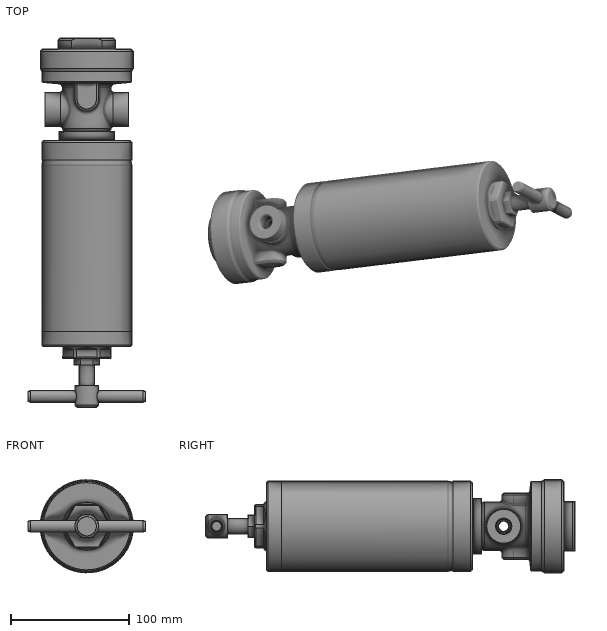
import cadquery as cq
import math

OVERALL_LENGTH = 313.0

CAP_END_Y = 60.5
SPINDLE_END_Y = CAP_END_Y - OVERALL_LENGTH
CAP_REAR_Y = CAP_END_Y - 9.5
CAP_FRONT_Y = CAP_REAR_Y - 18.8
FLANGE_FRONT_Y = CAP_FRONT_Y - 9.5
SPIGOT_REAR_Y = -18.8
COLLAR_REAR_Y = SPIGOT_REAR_Y - 7.5
TUBE_REAR_Y = COLLAR_REAR_Y - 16.5
GLAND_REAR_Y = -188.5
GLAND_FACE_Y = GLAND_REAR_Y - 12.5
GLAND_FRONT_Y = GLAND_FACE_Y - 10.0
LOCKNUT_FRONT_Y = GLAND_FRONT_Y - 5.5
HEAD_LENGTH = 18.5
HANDLE_Y = -243.3

CAP_RADIUS = 39.5
CAP_REAR_CHAMFER = 2.0
CAP_FRONT_CHAMFER = 2.5
WRENCH_BOSS_RADIUS = 24.5
WRENCH_BOSS_CHAMFER = 2.0
WRENCH_FLAT_WIDTH = 41.5

FLANGE_RADIUS = 76.0 / 2
FLANGE_EDGE_CHAMFER = 1.0
FLANGE_TAPER = 1.3
NECK_RADIUS = 41.3 / 2
NECK_FILLET = 3.0
RELIEF_RADIUS = 19.5
RELIEF_LENGTH = 2.5
SPIGOT_RADIUS = 47.3 / 2
SPIGOT_CHAMFER = 1.0

PORT_RADIUS = 28.8 / 2
PORT_ROOT_RADIUS = 14.7
PORT_SPAN = 71.0
PORT_ROOT_SPAN = 44.5
PORT_FILLET = 1.4
PORT_BORE_RADIUS = 4.5
PORT_MOUTH_RADIUS = 6.0
PORT_MOUTH_CHAMFER = 1.0
PORT_MOUTH_DEPTH = 12.5

PAD_HALF_WIDTH = 10.0
PAD_HEIGHT = 28.2
PAD_ARC_Y = 8.5
PAD_EDGE_CHAMFER = 2.0
PAD_FILLET = 1.5

HOUSING_RADIUS = 38.2
COLLAR_CHAMFER = 2.0
TUBE_TAPER_LENGTH = 4.0
TUBE_TAPER_DEPTH = 1.0
GLAND_CHAMFER = 1.3
HEX_BOSS_RADIUS = 20.5
HEX_FLAT_WIDTH = 36.5
HEX_RUNOUT_START = 1.0
HEX_RUNOUT_LENGTH = 1.5
HEX_CHAMFER = 1.0

LOCKNUT_WIDTH = 18.8
STEM_RADIUS = 6.5
HEAD_RADIUS = 10.0
HEAD_CHAMFER = 2.0
HANDLE_RADIUS = 5.0
HANDLE_LENGTH = 100.0
HANDLE_CHAMFER_LENGTH = 2.2
HANDLE_CHAMFER_DEPTH = 1.0

HEX_SIDES = 6
SELECTION_MARGIN = 0.3


def turned(profile):
    """Solid of revolution about Y from (radius, y) points that begin and end on the axis."""
    return cq.Workplane("XY").polyline(profile).close().revolve(360, (0, 0, 0), (0, 1, 0))


def rod_along_y(radius, y_start, y_end):
    """Round rod on the Y axis between two stations."""
    low = min(y_start, y_end)
    high = max(y_start, y_end)
    return cq.Workplane("XZ", origin=(0, high, 0)).circle(radius).extrude(high - low)


def rod_along_x(radius, span):
    """Round rod parallel to X, centred on the port axis."""
    return cq.Workplane("YZ").circle(radius).extrude(span / 2, both=True)


def make_cap():
    """Rear disc of the valve body with a round boss that carries two wrench flats."""
    cap = turned([
        (0, CAP_FRONT_Y),
        (FLANGE_RADIUS, CAP_FRONT_Y),
        (CAP_RADIUS, CAP_FRONT_Y + CAP_FRONT_CHAMFER),
        (CAP_RADIUS, CAP_REAR_Y - CAP_REAR_CHAMFER),
        (CAP_RADIUS - CAP_REAR_CHAMFER, CAP_REAR_Y),
        (0, CAP_REAR_Y),
    ])
    boss = turned([
        (0, CAP_REAR_Y),
        (WRENCH_BOSS_RADIUS, CAP_REAR_Y),
        (WRENCH_BOSS_RADIUS, CAP_END_Y - WRENCH_BOSS_CHAMFER),
        (WRENCH_BOSS_RADIUS - WRENCH_BOSS_CHAMFER, CAP_END_Y),
        (0, CAP_END_Y),
    ])
    flats = cq.Workplane("XY").box(2 * CAP_RADIUS, 2 * CAP_END_Y, WRENCH_FLAT_WIDTH)
    return cap.union(boss.intersect(flats))


def edges_between(low, high):
    """Selector for the edges whose centres lie inside the box between two corners."""
    return cq.selectors.BoxSelector(low, high)


def add_port_roots(body):
    """Short wide root of each port, filleted into the neck."""
    body = body.union(rod_along_x(PORT_ROOT_RADIUS, PORT_ROOT_SPAN))
    inner_x = math.sqrt(NECK_RADIUS**2 - PORT_ROOT_RADIUS**2)
    outer_x = NECK_RADIUS - SELECTION_MARGIN
    for side in (-1, 1):
        root = edges_between(
            (side * inner_x, -PORT_ROOT_RADIUS, -PORT_ROOT_RADIUS),
            (side * outer_x, PORT_ROOT_RADIUS, PORT_ROOT_RADIUS),
        )
        body = body.edges(root).fillet(PORT_FILLET)
    return body


def add_ports(body):
    """Two side ports joined by a narrower cross bore, with chamfered mouths."""
    body = body.union(rod_along_x(PORT_RADIUS, PORT_SPAN))
    body = body.cut(rod_along_x(PORT_BORE_RADIUS, PORT_SPAN))
    mouths = rod_along_x(PORT_MOUTH_RADIUS, PORT_SPAN)
    mouths = mouths.cut(rod_along_x(PORT_MOUTH_RADIUS, PORT_SPAN - 2 * PORT_MOUTH_DEPTH))
    body = body.cut(mouths)
    rims = body.faces("<X or >X").edges(cq.selectors.RadiusNthSelector(0))
    return rims.chamfer(PORT_MOUTH_CHAMFER)


def make_pad_block():
    """Round-ended block through the body, with chamfered top and bottom edges."""
    return (
        cq.Workplane("XY", origin=(0, 0, -PAD_HEIGHT))
        .moveTo(-PAD_HALF_WIDTH, PAD_ARC_Y)
        .threePointArc((0, PAD_ARC_Y - PAD_HALF_WIDTH), (PAD_HALF_WIDTH, PAD_ARC_Y))
        .line(0, CAP_FRONT_Y - PAD_ARC_Y)
        .line(-2 * PAD_HALF_WIDTH, 0)
        .close()
        .extrude(2 * PAD_HEIGHT)
        .faces("<Z or >Z")
        .chamfer(PAD_EDGE_CHAMFER)
    )


def add_pads(body):
    """Mounting pads above and below the neck, filleted into the neck and the flange."""
    body = body.union(make_pad_block())
    reach = PAD_HALF_WIDTH + SELECTION_MARGIN
    flange_y = FLANGE_FRONT_Y - FLANGE_TAPER - SELECTION_MARGIN
    neck_low = math.sqrt(NECK_RADIUS**2 - PAD_HALF_WIDTH**2) - SELECTION_MARGIN
    neck_high = NECK_RADIUS + SELECTION_MARGIN
    for side in (-1, 1):
        neck_joint = edges_between(
            (-reach, PAD_ARC_Y - reach, side * neck_low),
            (reach, flange_y, side * neck_high),
        )
        flange_joint = edges_between(
            (-reach, flange_y, side * neck_low),
            (reach, FLANGE_FRONT_Y, side * (PAD_HEIGHT + SELECTION_MARGIN)),
        )
        body = body.edges(neck_joint + flange_joint).fillet(PAD_FILLET)
    return body


def make_valve_body():
    """Flanged body with a rear cap, a necked middle, two side ports and two mounting pads."""
    neck_start_y = FLANGE_FRONT_Y - FLANGE_TAPER - NECK_FILLET
    neck_end_y = SPIGOT_REAR_Y + RELIEF_LENGTH
    bend = NECK_FILLET * (1 - math.sqrt(0.5))
    body = (
        cq.Workplane("XY")
        .moveTo(0, CAP_FRONT_Y)
        .lineTo(FLANGE_RADIUS, CAP_FRONT_Y)
        .lineTo(FLANGE_RADIUS, FLANGE_FRONT_Y + FLANGE_EDGE_CHAMFER)
        .lineTo(FLANGE_RADIUS - FLANGE_EDGE_CHAMFER, FLANGE_FRONT_Y)
        .lineTo(NECK_RADIUS + NECK_FILLET, FLANGE_FRONT_Y - FLANGE_TAPER)
        .threePointArc(
            (NECK_RADIUS + bend, neck_start_y + NECK_FILLET - bend),
            (NECK_RADIUS, neck_start_y),
        )
        .lineTo(NECK_RADIUS, neck_end_y)
        .lineTo(RELIEF_RADIUS, SPIGOT_REAR_Y)
        .lineTo(SPIGOT_RADIUS, SPIGOT_REAR_Y)
        .lineTo(SPIGOT_RADIUS, COLLAR_REAR_Y + SPIGOT_CHAMFER)
        .lineTo(SPIGOT_RADIUS - SPIGOT_CHAMFER, COLLAR_REAR_Y)
        .lineTo(0, COLLAR_REAR_Y)
        .close()
        .revolve(360, (0, 0, 0), (0, 1, 0))
    )
    body = add_port_roots(body)
    body = add_pads(body)
    body = add_ports(body)
    return body.union(make_cap())


def make_collar():
    """Ring between the valve body and the spring tube."""
    return turned([
        (0, COLLAR_REAR_Y),
        (HOUSING_RADIUS - COLLAR_CHAMFER, COLLAR_REAR_Y),
        (HOUSING_RADIUS, COLLAR_REAR_Y - COLLAR_CHAMFER),
        (HOUSING_RADIUS, TUBE_REAR_Y),
        (0, TUBE_REAR_Y),
    ])


def make_tube():
    """Long spring tube, tapered slightly where it meets the collar."""
    return turned([
        (0, TUBE_REAR_Y),
        (HOUSING_RADIUS - TUBE_TAPER_DEPTH, TUBE_REAR_Y),
        (HOUSING_RADIUS, TUBE_REAR_Y - TUBE_TAPER_LENGTH),
        (HOUSING_RADIUS, GLAND_REAR_Y),
        (0, GLAND_REAR_Y),
    ])


def make_hex_boss():
    """Round boss with six milled flats that run out before its root."""
    boss = rod_along_y(HEX_BOSS_RADIUS, GLAND_FACE_Y, GLAND_FRONT_Y)
    half_width = HEX_FLAT_WIDTH / 2
    runout_y = GLAND_FACE_Y - HEX_RUNOUT_START
    cutter = (
        cq.Workplane("YZ")
        .polyline([
            (runout_y, HEX_BOSS_RADIUS),
            (runout_y - HEX_RUNOUT_LENGTH, half_width),
            (GLAND_FRONT_Y + HEX_CHAMFER, half_width),
            (GLAND_FRONT_Y, half_width - HEX_CHAMFER),
            (GLAND_FRONT_Y, HEX_BOSS_RADIUS),
        ])
        .close()
        .extrude(HEX_BOSS_RADIUS, both=True)
    )
    for side in range(HEX_SIDES):
        boss = boss.cut(cutter.rotate((0, 0, 0), (0, 1, 0), side * 360 / HEX_SIDES))
    return boss


def make_gland():
    """End piece of the spring housing with a hexagonal boss, bored for the spindle."""
    gland = turned([
        (0, GLAND_REAR_Y),
        (HOUSING_RADIUS, GLAND_REAR_Y),
        (HOUSING_RADIUS, GLAND_FACE_Y + GLAND_CHAMFER),
        (HOUSING_RADIUS - GLAND_CHAMFER, GLAND_FACE_Y),
        (0, GLAND_FACE_Y),
    ])
    gland = gland.union(make_hex_boss())
    return gland.cut(rod_along_y(STEM_RADIUS, GLAND_REAR_Y, GLAND_FRONT_Y))


def make_locknut():
    """Hexagonal locknut around the spindle, with corners on the X axis."""
    return (
        cq.Workplane("XZ", origin=(0, GLAND_FRONT_Y, 0))
        .polygon(HEX_SIDES, LOCKNUT_WIDTH, circumscribed=True)
        .circle(STEM_RADIUS)
        .extrude(GLAND_FRONT_Y - LOCKNUT_FRONT_Y)
        .rotate((0, 0, 0), (0, 1, 0), 180 / HEX_SIDES)
    )


def make_handle():
    """Cross bar with chamfered ends."""
    return (
        rod_along_x(HANDLE_RADIUS, HANDLE_LENGTH)
        .faces("<X or >X")
        .chamfer(HANDLE_CHAMFER_LENGTH, HANDLE_CHAMFER_DEPTH)
        .translate((0, HANDLE_Y, 0))
    )


def make_spindle(handle):
    """Stem with a thicker head that is cross-drilled for the handle."""
    spindle = turned([
        (0, GLAND_REAR_Y),
        (STEM_RADIUS, GLAND_REAR_Y),
        (STEM_RADIUS, SPINDLE_END_Y + HEAD_LENGTH),
        (HEAD_RADIUS, SPINDLE_END_Y + HEAD_LENGTH),
        (HEAD_RADIUS, SPINDLE_END_Y + HEAD_CHAMFER),
        (HEAD_RADIUS - HEAD_CHAMFER, SPINDLE_END_Y),
        (0, SPINDLE_END_Y),
    ])
    return spindle.cut(handle)


valve_body = make_valve_body()
collar = make_collar()
tube = make_tube()
gland = make_gland()
locknut = make_locknut()
handle = make_handle()
spindle = make_spindle(handle)

result = cq.Compound.makeCompound([
    valve_body.val(), collar.val(), tube.val(),
    gland.val(), locknut.val(), spindle.val(), handle.val(),
])